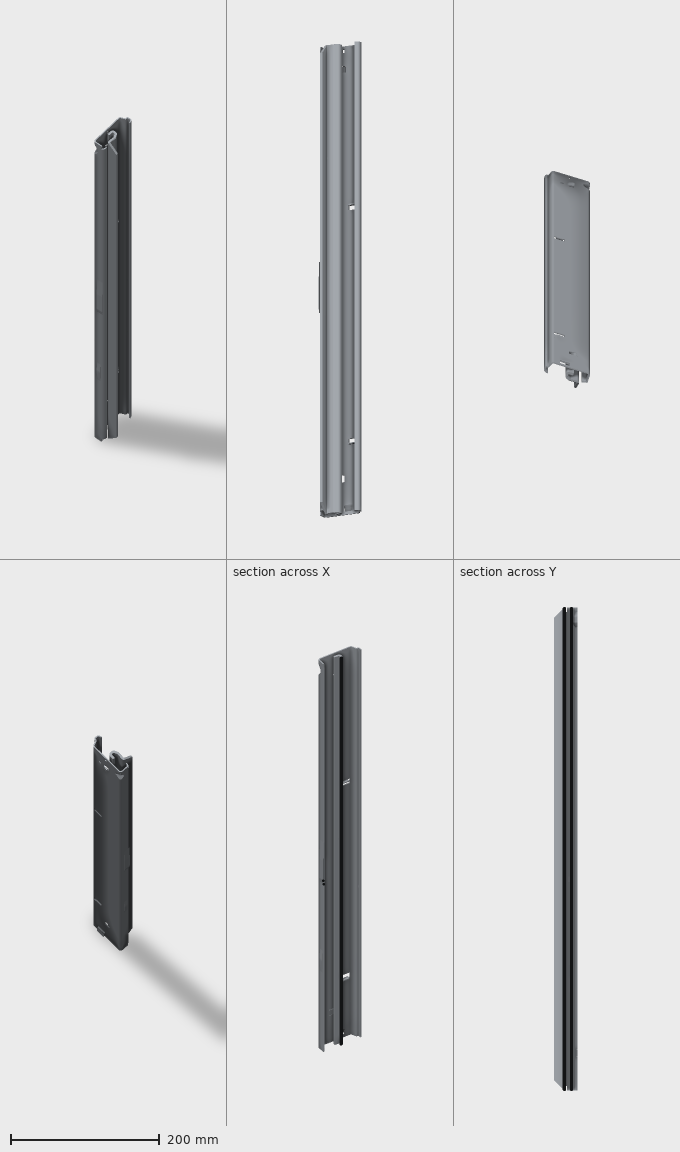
import cadquery as cq
import math

LENGTH = 650.0
HALF_LENGTH = LENGTH / 2
SHEET = 1.6

WALL_X = -14.0
PROUD_X = -17.5
WALL_INNER_X = WALL_X + SHEET
TOP_Y = 31.0
BOTTOM_Y = -31.0
BOSS_HEIGHT = 1.0
FLOOR_Y = BOTTOM_Y + BOSS_HEIGHT
CORNER_R = 4.0
LIP_EDGE_X = 4.0
LIP_EDGE_Y = -23.5

FLANGE_X = 17.5
FLANGE_Y = -17.0
FLANGE_CHAMFER = 13.5

RAIL_PATH = [
    (4.0, 25.5, 0),
    (2.0, TOP_Y, 4.0),
    (-6.2, TOP_Y, 2.3),
    (-6.2, 27.0, 0.5),
    (WALL_X, 24.0, CORNER_R),
    (WALL_X, FLOOR_Y, CORNER_R),
    (2.5, FLOOR_Y, 4.5),
    (LIP_EDGE_X, LIP_EDGE_Y, 0),
]
CARRIAGE_PATH = [
    (FLANGE_X, FLANGE_Y, 0),
    (4.2, FLANGE_Y, 0.5),
    (5.0, -6.5, 5.0),
    (1.0, 1.0, 4.5),
    (-7.0, 1.0, 4.0),
    (-8.0, -8.5, 0),
]


def offset_corners(path, depth):
    """Corner data (start, middle, end) of a path shifted to its left by depth."""
    corners = []
    for before, here, after in zip(path, path[1:], path[2:]):
        in_angle = math.atan2(here[1] - before[1], here[0] - before[0])
        out_angle = math.atan2(after[1] - here[1], after[0] - here[0])
        turn = math.remainder(out_angle - in_angle, 2 * math.pi)
        side = math.copysign(1, turn)
        setback = here[2] * math.tan(abs(turn) / 2)
        centre_x = here[0] - setback * math.cos(in_angle) - side * here[2] * math.sin(in_angle)
        centre_y = here[1] - setback * math.sin(in_angle) + side * here[2] * math.cos(in_angle)
        radius = side * here[2] - depth
        corner = []
        for angle in (in_angle, in_angle + turn / 2, out_angle):
            corner.append((centre_x + radius * math.sin(angle), centre_y - radius * math.cos(angle)))
        corners.append(corner)
    return corners


def offset_end(point, start, end, depth):
    """An end point of a path, shifted to the left of the direction start -> end."""
    run = math.dist(start[:2], end[:2])
    return (
        point[0] - depth * (end[1] - start[1]) / run,
        point[1] + depth * (end[0] - start[0]) / run,
    )


def draw_side(outline, corners):
    for start, middle, end in corners:
        outline = outline.lineTo(*start).threePointArc(middle, end)
    return outline


def bent_sheet(plane, path, near, far, length):
    """A sheet filling the depths near..far on the left of a path, extruded both ways."""
    near_corners = offset_corners(path, near)
    far_corners = [corner[::-1] for corner in reversed(offset_corners(path, far))]
    outline = cq.Workplane(plane).moveTo(*offset_end(path[0], path[0], path[1], near))
    outline = draw_side(outline, near_corners)
    outline = outline.lineTo(*offset_end(path[-1], path[-2], path[-1], near))
    outline = outline.lineTo(*offset_end(path[-1], path[-2], path[-1], far))
    outline = draw_side(outline, far_corners)
    outline = outline.lineTo(*offset_end(path[0], path[0], path[1], far))
    return outline.close().extrude(length / 2, both=True)


def block(x_range, y_range, z_range):
    """A box given by its limits along each axis."""
    sizes = [high - low for low, high in (x_range, y_range, z_range)]
    corner = (x_range[0], y_range[0], z_range[0])
    return cq.Workplane("XY").box(*sizes, centered=False).translate(corner)


def wall_cut(y_range, z_range):
    """A cutter that goes through the wall only."""
    return block((WALL_X - SHEET, WALL_INNER_X + SHEET / 2), y_range, z_range)


LIP_TRIM = 6.0
TRIM_X = (0.0, LIP_EDGE_X + SHEET)
TRIM_Y = (FLOOR_Y, LIP_EDGE_Y + SHEET)


def trim_lip_ends(rail):
    """Shorten the upturned edge of the lower lip at both ends."""
    for end in (-1, 1):
        z_range = sorted((end * HALF_LENGTH, end * (HALF_LENGTH - LIP_TRIM)))
        rail = rail.cut(block(TRIM_X, TRIM_Y, z_range))
    return rail


LIP_BOSSES = [
    ((-8.0, 2.0), 26.5, -4.5, -37.0, -44.0),
    ((-8.0, -2.0), -156.0, -171.5, -174.0, -193.0),
]


def add_lip_bosses(rail):
    """Press shallow tapered bosses out of the lower lip."""
    for (x_low, x_high), start, plateau_top, plateau_bottom, end in LIP_BOSSES:
        boss = (
            cq.Workplane("YZ", origin=(x_low, 0, 0))
            .moveTo(FLOOR_Y, start)
            .lineTo(BOTTOM_Y, plateau_top)
            .lineTo(BOTTOM_Y, plateau_bottom)
            .lineTo(FLOOR_Y, end)
            .close()
            .extrude(x_high - x_low)
        )
        rail = rail.union(boss).cut(boss.translate((0, SHEET, 0)))
    return rail


GUSSET_Z = 309.0
GUSSET_FLAT = 8.0
GUSSET_HEIGHT = 25.0
GUSSET_LEG_X = 7.0
GUSSET_LEG_Y = 10.5
GUSSET_TIP = 0.3
GUSSET_WALL = 1.5 * SHEET


def gusset_stage(low, low_x, low_y, high, high_x, high_y):
    """One ruled stage of the wedge between two triangles on the wall corner."""
    return (
        cq.Workplane("XY", origin=(WALL_X, FLOOR_Y, GUSSET_Z + low))
        .polyline([(0, 0), (low_x, 0), (0, low_y)])
        .close()
        .workplane(offset=high - low)
        .polyline([(0, 0), (high_x, 0), (0, high_y)])
        .close()
        .loft(ruled=True)
    )


def gusset_wedge(growth):
    """A triangular wedge on the lower wall corner, tapering to nothing up and down."""
    tip = GUSSET_TIP + growth
    half_flat = GUSSET_FLAT / 2
    half_height = GUSSET_HEIGHT / 2
    leg_x = GUSSET_LEG_X + growth
    leg_y = GUSSET_LEG_Y + growth
    wedge = gusset_stage(-half_height, tip, tip, -half_flat, leg_x, leg_y)
    wedge = wedge.union(gusset_stage(-half_flat, leg_x, leg_y, half_flat, leg_x, leg_y))
    return wedge.union(gusset_stage(half_flat, leg_x, leg_y, half_height, tip, tip))


def add_corner_gusset(rail):
    """Press the lower wall corner inwards near the upper end."""
    corner = block((WALL_X, 0), (FLOOR_Y, 0), (GUSSET_Z - GUSSET_HEIGHT, HALF_LENGTH))
    corner = corner.edges("|Z and <X and <Y").fillet(CORNER_R)
    shell = gusset_wedge(GUSSET_WALL).intersect(corner)
    return rail.union(shell).cut(gusset_wedge(0))


SLOTS = [(101.0, 1), (-224.0, -1)]
SLOT_Y = (7.0, 21.5)
SLOT_HEIGHT = 8.0
SLOT_TAB_Y = (8.5, 18.0)
SLOT_TAB_X = -9.0


def add_tabbed_slots(rail):
    """Cut two slots, each with a tab bent inwards from one long edge."""
    for centre, tab_side in SLOTS:
        low = centre - SLOT_HEIGHT / 2
        high = centre + SLOT_HEIGHT / 2
        rail = rail.cut(wall_cut(SLOT_Y, (low, high)))
        tab_edge = centre + tab_side * SLOT_HEIGHT / 2
        tab_z = sorted((tab_edge, tab_edge - tab_side * SHEET))
        rail = rail.union(block((WALL_X, SLOT_TAB_X), SLOT_TAB_Y, tab_z))
        root_z = sorted((tab_edge + tab_side * SHEET, tab_edge - tab_side * SHEET))
        rail = rail.union(block((WALL_X, WALL_INNER_X), SLOT_TAB_Y, root_z))
    return rail


OUTWARD_WINDOW_Y = (-6.5, 2.5)
OUTWARD_WINDOW_Z = (288.5, 298.0)
INWARD_WINDOW_Y = (-12.5, 0.5)
INWARD_WINDOW_Z = (-279.5, -270.0)

OUTWARD_TAB = [(WALL_X, OUTWARD_WINDOW_Y[1]), (-16.0, 0.5), (PROUD_X, -6.0)]
INWARD_TAB = [(WALL_X, INWARD_WINDOW_Y[0]), (WALL_X, -8.5), (-12.5, -3.0)]
TAB_SLIT = 0.5


def add_lanced_tab(rail, window_y, window_z, outer_face, slit):
    """Open a window in the wall and bend a tab from one of its upright edges."""
    rail = rail.cut(wall_cut(window_y, window_z))
    inner_face = [(x + SHEET, y) for x, y in reversed(outer_face)]
    tab = (
        cq.Workplane("XY", origin=(0, 0, window_z[0] + slit))
        .polyline(outer_face + inner_face)
        .close()
        .extrude(window_z[1] - window_z[0] - 2 * slit)
    )
    return rail.union(tab)


HOOD_Y = (0.0, 13.0)
HOOD_TOP = -310.0
HOOD_BOTTOM = -320.5


def add_hood(rail):
    """Form a hood near the lower end, flaring outwards and open at the bottom."""
    middle_x = (WALL_X + PROUD_X) / 2
    rail = rail.cut(wall_cut(HOOD_Y, (HOOD_BOTTOM, HOOD_TOP)))
    hood = (
        cq.Workplane("XZ", origin=(0, HOOD_Y[1], 0))
        .polyline([
            (WALL_X, HOOD_TOP),
            (middle_x, HOOD_TOP - SHEET),
            (middle_x, HOOD_TOP - 3 * SHEET),
            (PROUD_X, HOOD_BOTTOM),
            (PROUD_X + SHEET, HOOD_BOTTOM),
            (middle_x + SHEET, HOOD_TOP - 3 * SHEET),
            (WALL_INNER_X, HOOD_TOP - SHEET),
            (WALL_INNER_X, HOOD_TOP),
        ])
        .close()
        .extrude(HOOD_Y[1] - HOOD_Y[0])
    )
    return rail.union(hood)


HOLE_Y = (-2.5, 0.5)
HOLE_Z = (316.0, 320.5)
DIMPLE_Y = (8.5, 12.5)
DIMPLE_Z = (290.0, 294.5)
DIMPLE_DEPTH = SHEET / 2


def cut_hole_and_dimple(rail):
    """Cut a small rectangular hole and a shallow dimple near the upper end of the wall."""
    rail = rail.cut(wall_cut(HOLE_Y, HOLE_Z))
    return rail.cut(block((WALL_X, WALL_X + DIMPLE_DEPTH), DIMPLE_Y, DIMPLE_Z))


def make_base_rail():
    rail = bent_sheet("XY", RAIL_PATH, 0, SHEET, LENGTH)
    rail = trim_lip_ends(rail)
    rail = add_lip_bosses(rail)
    rail = add_corner_gusset(rail)
    rail = add_tabbed_slots(rail)
    rail = add_lanced_tab(rail, OUTWARD_WINDOW_Y, OUTWARD_WINDOW_Z, OUTWARD_TAB, 0)
    rail = add_lanced_tab(rail, INWARD_WINDOW_Y, INWARD_WINDOW_Z, INWARD_TAB, TAB_SLIT)
    rail = add_hood(rail)
    return cut_hole_and_dimple(rail)


def chamfer_flange(sheet):
    """Cut the free corners of the flange at 45 degrees."""
    for end in (-1, 1):
        corner = (
            cq.Workplane("XZ")
            .polyline([
                (FLANGE_X, end * HALF_LENGTH),
                (FLANGE_X - FLANGE_CHAMFER, end * HALF_LENGTH),
                (FLANGE_X, end * (HALF_LENGTH - FLANGE_CHAMFER)),
            ])
            .close()
            .extrude(-2 * FLANGE_Y)
        )
        sheet = sheet.cut(corner)
    return sheet


def make_carriage_sheet(layer):
    """One of the two nested sheets, layer 0 being the outer one."""
    return chamfer_flange(bent_sheet("XY", CARRIAGE_PATH, layer * SHEET, (layer + 1) * SHEET, LENGTH))


base_rail = make_base_rail()
carriage_outer = make_carriage_sheet(0)
carriage_inner = make_carriage_sheet(1)

result = cq.Compound.makeCompound([base_rail.val(), carriage_outer.val(), carriage_inner.val()])